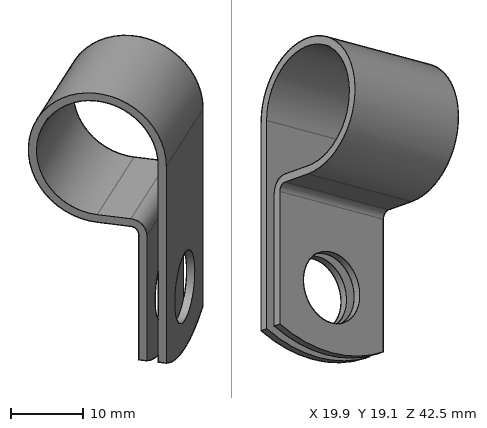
import cadquery as cq
import math

height = 42.5
width = 19.05
thickness = 1.2
loop_radius = 9.95
leg_gap = 1.6
bend_inner_radius = 1.1
hole_diameter = 10.32
hole_height = 9.5
end_radius = 21.95

loop_inner_radius = loop_radius - thickness
bottom = loop_radius - height
short_leg_right = loop_inner_radius - leg_gap
short_leg_left = short_leg_right - thickness
bend_outer_radius = bend_inner_radius + thickness
bend_x = short_leg_right - bend_outer_radius
bend_z = -loop_radius - bend_inner_radius
diagonal = math.sqrt(0.5)


def bent_strip():
    """Loop with one long straight leg and one short bent leg."""
    profile = (
        cq.Workplane("XZ")
        .moveTo(loop_radius, bottom)
        .lineTo(loop_radius, 0)
        .threePointArc((-loop_radius * diagonal, loop_radius * diagonal), (0, -loop_radius))
        .lineTo(bend_x, -loop_radius)
        .threePointArc(
            (bend_x + bend_inner_radius * diagonal, bend_z + bend_inner_radius * diagonal),
            (short_leg_left, bend_z),
        )
        .lineTo(short_leg_left, bottom)
        .lineTo(short_leg_right, bottom)
        .lineTo(short_leg_right, bend_z)
        .threePointArc(
            (bend_x + bend_outer_radius * diagonal, bend_z + bend_outer_radius * diagonal),
            (bend_x, -loop_inner_radius),
        )
        .lineTo(0, -loop_inner_radius)
        .threePointArc(
            (-loop_inner_radius * diagonal, loop_inner_radius * diagonal),
            (loop_inner_radius, 0),
        )
        .lineTo(loop_inner_radius, bottom)
        .close()
    )
    return profile.extrude(width / 2, both=True)


def leg_envelope():
    """Strip outline seen along X, with the rounded lower end."""
    half_width = width / 2
    end_center_z = bottom + end_radius
    corner_z = end_center_z - math.sqrt(end_radius**2 - half_width**2)
    return (
        cq.Workplane("YZ")
        .moveTo(-half_width, loop_radius)
        .lineTo(-half_width, corner_z)
        .threePointArc((0, bottom), (half_width, corner_z))
        .lineTo(half_width, loop_radius)
        .close()
        .extrude(loop_radius, both=True)
    )


def bolt_hole():
    """Cylinder along X that pierces both legs."""
    return (
        cq.Workplane("YZ")
        .center(0, bottom + hole_height)
        .circle(hole_diameter / 2)
        .extrude(loop_radius, both=True)
    )


result = bent_strip().intersect(leg_envelope()).cut(bolt_hole())